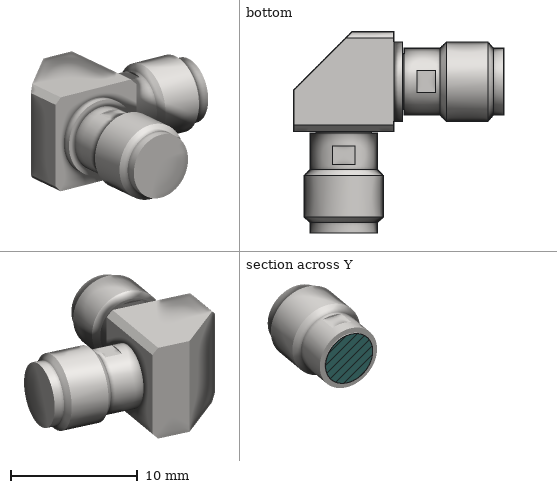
import cadquery as cq

block_side = 7.92
half_side = block_side / 2
corner_cut = 4.61
edge_chamfer = 0.51

collar_diameter = 6.29
overall_x = 16.6
overall_y = 15.92
connector_length = overall_y - block_side
collar_length = overall_x - block_side - connector_length

neck_radius = 2.2
sleeve_radius = 2.65
nut_radius = 3.14
neck_length = 0.12
sleeve_length = 2.85
rear_cone_length = 0.5
front_cone_length = 0.43
tip_length = 0.83

flat_offset = 2.5
flat_start = 1.01
flat_length = 1.48


def make_block():
    """Square block with a cut corner, chamfered Y edges and a collar on +X."""
    block = (
        cq.Workplane("XY")
        .box(block_side, block_side, block_side)
        .edges("|X")
        .chamfer(edge_chamfer)
    )
    corner = (
        cq.Workplane("XY", origin=(-half_side, -half_side, -half_side))
        .polyline([(0, 0), (corner_cut, 0), (0, corner_cut)])
        .close()
        .extrude(block_side)
    )
    collar = (
        cq.Workplane("YZ", origin=(half_side, 0, 0))
        .circle(collar_diameter / 2)
        .extrude(collar_length)
    )
    return block.cut(corner).union(collar)


def make_connector():
    """Turned connector lying along +X, with its block end at the origin."""
    sleeve_end = neck_length + sleeve_length
    nut_start = sleeve_end + rear_cone_length
    tip_start = connector_length - tip_length
    nut_end = tip_start - front_cone_length
    profile = [
        (0, 0),
        (0, neck_radius),
        (neck_length, neck_radius),
        (neck_length, sleeve_radius),
        (sleeve_end, sleeve_radius),
        (nut_start, nut_radius),
        (nut_end, nut_radius),
        (tip_start, sleeve_radius),
        (connector_length, sleeve_radius),
        (connector_length, 0),
    ]
    turned = cq.Workplane("XY").polyline(profile).close().revolve(360, (0, 0, 0), (1, 0, 0))
    flat_depth = sleeve_radius - flat_offset
    flat_centre_x = neck_length + flat_start + flat_length / 2
    flat_centre_z = flat_offset + flat_depth / 2
    flat_cutter = cq.Workplane("XY").box(flat_length, 2 * sleeve_radius, flat_depth)
    for side in (1, -1):
        turned = turned.cut(flat_cutter.translate((flat_centre_x, 0, side * flat_centre_z)))
    return turned


connector_seats = [
    (0, (half_side + collar_length, 0, 0)),
    (90, (0, half_side, 0)),
]

block = make_block()
connectors = []
for angle, seat in connector_seats:
    connector = make_connector().rotate((0, 0, 0), (0, 0, 1), angle).translate(seat)
    connectors.append(connector.val())

result = cq.Compound.makeCompound([block.val(), *connectors])